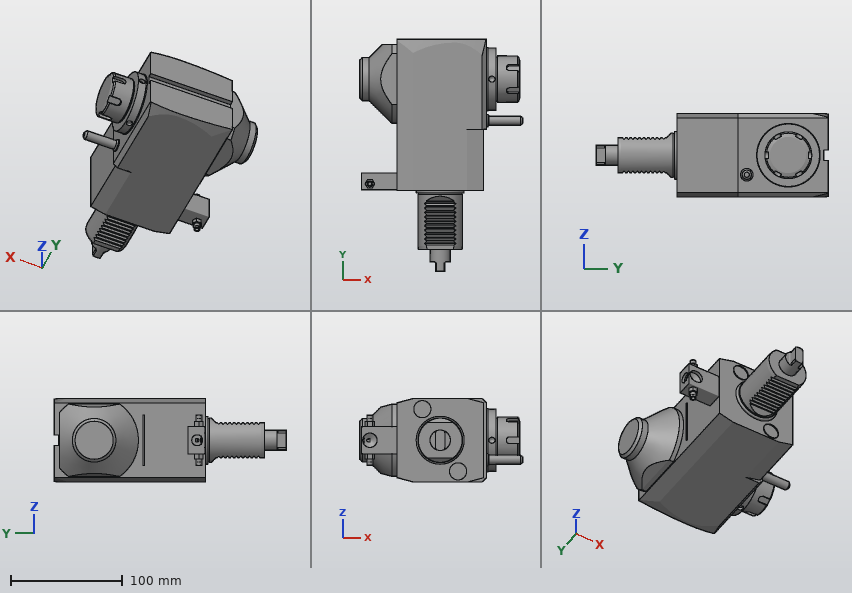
import cadquery as cq
import math


half_width = 39.0
half_height = 75.0 / 2
length = 135.8
side_slope = 15
flat_half_width = 24.1
side_half_height = half_height - (half_width - flat_half_width) * math.tan(math.radians(side_slope))
spindle_face_x = 41.5
spindle_face_start_y = 55.0
spindle_face_chamfer = 4.0

crown_peak_x = 13.0
crown_drop = 0.6
crown_left_drop = 3.5
crown_right_drop = 3.0
crown_slope = 11
crown_run = 29.1

rear_slot_width = 9.2
rear_slot_depth = 4.0
side_groove_y = 55.5
side_groove_length = 45.0
side_groove_width = 1.0
side_groove_depth = 0.6
plug_radius = 7.7
plug_depth = 1.0
plug_x = 16.0
plug_z = 27.9

spindle_y = 100.0
nut_radius = 21.0
nut_end_x = 71.5
nut_bevel_length = 2.3
nut_bevel_depth = 1.2
nut_lip_length = 1.0
nut_face_radius = 16.2
nut_slot_count = 6
nut_slot_width = 6.2
nut_slot_length = 12.3
nut_slot_depth = 3.1
collar_radius = 28.0
collar_start_x = 42.6
collar_end_x = 50.1
collar_rim_radius = 28.5
collar_hole_count = 4
collar_hole_radius = 2.7
collar_hole_depth = 3.1
neck_radius = 20.0
neck_end_x = 51.4

cap_radius = 39.7
cap_rim_x = -43.3
cap_tip_radius = 19.5
cap_tip_x = -72.2
cap_tip_chamfer = 2.5
cap_tip_length = 8.5
cap_flat_half_height = 32.5
cap_back_flat_y = 131.2

pin_radius = 4.2
pin_y = 62.8
pin_z = -17.5
pin_end_x = 74.0
pin_chamfer = 1.9
pin_foot_radius = 5.6
pin_foot_height = 1.0
pin_foot_taper = 1.2

shank_radius = 40.1 / 2
shank_end_y = -52.8
shank_end_chamfer_length = 3.1
shank_end_chamfer_depth = 0.5
flange_radius = 43.0 / 2
flange_thickness = 2.0
flange_rounding = 0.8
relief_radius = 19.5
relief_end_y = -3.3
rack_flat_z = 15.8
rack_start_y = -9.2
rack_tooth_count = 10
rack_first_y = -11.6
rack_pitch = 4.0
rack_depth = 1.5

drive_radius = 9.2
drive_end_y = -72.2
tang_thickness = 8.3
tang_start_y = -63.9
tang_root_radius = 1.0
tang_chamfer_thickness = 1.0
tang_chamfer_height = 2.5

block_end_x = -70.7
block_start_y = 0.8
block_end_y = 16.0
block_half_height = 12.3
block_rounding = 0.5
block_port_x = -63.0
block_port_radius = 6.5
block_port_depth = 3.1
side_port_y = 7.7
side_port_radius = 9.8 / 2
side_port_bore_radius = 1.7
side_port_depth = 2.5
screw_y = 6.2
screw_radius = 2.7
screw_top_z = 22.5
screw_socket_radius = 1.7
screw_socket_depth = 3.1
screw_nut_width = 7.5
screw_nut_height = 4.4

DRILL_POINT_ANGLE = 118
EMBED = 2.0
CLEAR = 10.5


def cylinder(start, direction, radius, height):
    """Cylinder growing from a start point along a direction."""
    return cq.Workplane(obj=cq.Solid.makeCylinder(radius, height, cq.Vector(*start), cq.Vector(*direction)))


def box_between(x_range, y_range, z_range):
    """Axis-aligned box given by its lower and upper limit on each axis."""
    (x0, x1), (y0, y1), (z0, z1) = x_range, y_range, z_range
    return cq.Workplane("XY").box(x1 - x0, y1 - y0, z1 - z0, centered=False).translate((x0, y0, z0))


def turned_on_x(profile, y, z=0):
    """Solid turned about an axis parallel to X; profile points are (x, radius)."""
    outline = cq.Workplane("XY").polyline(profile).close()
    return outline.revolve(360, (0, 0, 0), (1, 0, 0)).translate((0, y, z))


def drilled_hole(radius, straight_depth):
    """Drill shape that enters the XY plane at the origin and points to -Z."""
    point_depth = radius / math.tan(math.radians(DRILL_POINT_ANGLE / 2))
    outline = cq.Workplane("XZ").polyline([
        (0, CLEAR),
        (radius, CLEAR),
        (radius, -straight_depth),
        (0, -straight_depth - point_depth),
    ]).close()
    return outline.revolve(360, (0, 0, 0), (0, 1, 0))


def with_mirror(solid):
    """Solid together with its copy below the XY plane."""
    return solid.union(solid.mirror("XY"))


def along_y(points, y_start, y_end):
    """Prism along Y over an outline of (x, z) points."""
    return cq.Workplane("XZ", origin=(0, y_end, 0)).polyline(points).close().extrude(y_end - y_start)


def housing_section(right_points):
    """Cross-section outline: the slanted left side plus the given upper right points."""
    upper = [(-half_width, side_half_height), (-flat_half_width, half_height)] + right_points
    return upper + [(x, -z) for x, z in reversed(upper)]


def crown_cutter():
    """Material above the crowned rear edge, swept forward and upward."""
    peak_z = half_height - crown_drop
    left_z = peak_z - crown_left_drop
    right_z = peak_z - crown_right_drop
    top_z = half_height + CLEAR

    def arc_middle(end_x, drop):
        """Middle of the arc that leaves the peak level and falls by the drop at its end."""
        run = end_x - crown_peak_x
        radius = (run**2 + drop**2) / (2 * drop)
        half_angle = math.asin(run / radius) / 2
        return (crown_peak_x + radius * math.sin(half_angle), peak_z - radius * (1 - math.cos(half_angle)))

    outline = (
        cq.Workplane("XZ", origin=(0, length, 0))
        .moveTo(-half_width, left_z)
        .threePointArc(arc_middle(-half_width, crown_left_drop), (crown_peak_x, peak_z))
        .threePointArc(arc_middle(spindle_face_x, crown_right_drop), (spindle_face_x, right_z))
        .lineTo(spindle_face_x + CLEAR, right_z)
        .lineTo(spindle_face_x + CLEAR, top_z)
        .lineTo(-half_width - CLEAR, top_z)
        .lineTo(-half_width - CLEAR, left_z)
        .close()
    )
    sweep = cq.Vector(0, -crown_run, crown_run * math.tan(math.radians(crown_slope)))
    return cq.Workplane(obj=cq.Solid.extrudeLinear(outline.wires().val(), [], sweep))


def housing():
    front_section = housing_section([(flat_half_width, half_height), (half_width, side_half_height)])
    rear_section = housing_section([
        (spindle_face_x - spindle_face_chamfer, half_height),
        (spindle_face_x, half_height - spindle_face_chamfer),
    ])
    body = along_y(front_section, 0, spindle_face_start_y)
    body = body.union(along_y(rear_section, spindle_face_start_y, length))
    body = body.cut(with_mirror(crown_cutter()))

    slot = box_between(
        (-half_width - CLEAR, spindle_face_x + CLEAR),
        (length - rear_slot_depth, length + CLEAR),
        (-rear_slot_width / 2, rear_slot_width / 2),
    )
    groove = box_between(
        (-half_width - CLEAR, -half_width + side_groove_depth),
        (side_groove_y - side_groove_width / 2, side_groove_y + side_groove_width / 2),
        (-side_groove_length / 2, side_groove_length / 2),
    )
    body = body.cut(slot).cut(groove)
    for side in (-1, 1):
        body = body.cut(cylinder((side * plug_x, 0, -side * plug_z), (0, 1, 0), plug_radius, plug_depth))
    return body


def spindle():
    body = turned_on_x([
        (spindle_face_x - EMBED, 0),
        (spindle_face_x - EMBED, collar_rim_radius),
        (collar_start_x, collar_rim_radius),
        (collar_start_x, collar_radius),
        (collar_end_x, collar_radius),
        (collar_end_x, neck_radius),
        (neck_end_x, neck_radius),
        (neck_end_x, nut_radius),
        (nut_end_x - nut_bevel_length, nut_radius),
        (nut_end_x - nut_lip_length, nut_radius - nut_bevel_depth),
        (nut_end_x, nut_face_radius),
        (nut_end_x, 0),
    ], spindle_y)

    slot_floor = nut_radius - nut_slot_depth
    slot_center_x = nut_end_x - nut_slot_length + nut_slot_width / 2
    slot = box_between(
        (slot_center_x, nut_end_x + CLEAR),
        (-nut_slot_width / 2, nut_slot_width / 2),
        (slot_floor, nut_radius + CLEAR),
    )
    slot_end = cylinder((slot_center_x, 0, slot_floor), (0, 0, 1), nut_slot_width / 2, nut_slot_depth + CLEAR)
    slot = slot.union(slot_end)
    for i in range(nut_slot_count):
        angle = (i + 0.5) * 360 / nut_slot_count
        body = body.cut(slot.rotate((0, 0, 0), (1, 0, 0), angle).translate((0, spindle_y, 0)))

    hole_x = (collar_start_x + collar_end_x) / 2
    hole = drilled_hole(collar_hole_radius, collar_hole_depth).translate((hole_x, 0, collar_radius))
    for i in range(collar_hole_count):
        angle = i * 360 / collar_hole_count
        body = body.cut(hole.rotate((0, 0, 0), (1, 0, 0), angle).translate((0, spindle_y, 0)))
    return body


def cap():
    cone_start_x = cap_tip_x + cap_tip_length
    body = turned_on_x([
        (-half_width + EMBED, 0),
        (-half_width + EMBED, cap_radius),
        (cap_rim_x, cap_radius),
        (cone_start_x, cap_tip_radius),
        (cap_tip_x + cap_tip_chamfer, cap_tip_radius),
        (cap_tip_x, cap_tip_radius - cap_tip_chamfer),
        (cap_tip_x, 0),
    ], spindle_y)

    slope = math.tan(math.radians(side_slope))
    tip_half_height = cap_flat_half_height - (cap_rim_x - cap_tip_x) * slope
    upper = [(cap_tip_x, tip_half_height), (cap_rim_x, cap_flat_half_height), (0, cap_flat_half_height)]
    envelope = upper + [(x, -z) for x, z in reversed(upper)]
    return body.intersect(along_y(envelope, spindle_y - cap_radius - EMBED, cap_back_flat_y))


def pin():
    foot_end_x = spindle_face_x + pin_foot_height
    return turned_on_x([
        (spindle_face_x - EMBED, 0),
        (spindle_face_x - EMBED, pin_foot_radius),
        (foot_end_x, pin_foot_radius),
        (foot_end_x + pin_foot_taper, pin_radius),
        (pin_end_x - pin_chamfer, pin_radius),
        (pin_end_x, pin_radius - pin_chamfer),
        (pin_end_x, 0),
    ], pin_y, pin_z)


def shank():
    body = cq.Workplane("XY").polyline([
        (0, EMBED),
        (relief_radius, EMBED),
        (relief_radius, relief_end_y),
        (shank_radius, relief_end_y),
        (shank_radius, shank_end_y + shank_end_chamfer_length),
        (shank_radius - shank_end_chamfer_depth, shank_end_y),
        (0, shank_end_y),
    ]).close().revolve(360, (0, 0, 0), (0, 1, 0))
    flange = cylinder((0, 0, 0), (0, -1, 0), flange_radius, flange_thickness)
    flange = flange.edges("<Y").fillet(flange_rounding)
    body = body.union(flange)

    run_in = shank_radius - rack_flat_z + EMBED
    outer_z = rack_flat_z + run_in
    cutter = cq.Workplane("YZ").polyline([
        (shank_end_y - EMBED, rack_flat_z),
        (rack_start_y, rack_flat_z),
        (rack_start_y + run_in, outer_z),
        (shank_end_y - EMBED, outer_z),
    ]).close().extrude(shank_radius + EMBED, both=True)
    for i in range(rack_tooth_count):
        y = rack_first_y - i * rack_pitch
        groove = cq.Workplane("YZ").polyline([
            (y - rack_depth, rack_flat_z),
            (y, rack_flat_z - rack_depth),
            (y + rack_depth, rack_flat_z),
        ]).close().extrude(shank_radius + EMBED, both=True)
        cutter = cutter.union(groove)
    return body.cut(with_mirror(cutter))


def drive_tang():
    body = cylinder((0, shank_end_y + EMBED, 0), (0, -1, 0), drive_radius, shank_end_y + EMBED - drive_end_y)
    half_thickness = tang_thickness / 2
    reach = drive_radius + EMBED
    side_cut = box_between(
        (half_thickness, reach),
        (drive_end_y - EMBED, tang_start_y),
        (-reach, reach),
    ).edges("<X and >Y").fillet(tang_root_radius)
    corner_cut = along_y([
        (half_thickness, drive_radius - tang_chamfer_height),
        (half_thickness - tang_chamfer_thickness, drive_radius),
        (reach, drive_radius),
        (reach, drive_radius - tang_chamfer_height),
    ], drive_end_y - EMBED, tang_start_y - tang_root_radius)
    cutter = side_cut.union(with_mirror(corner_cut))
    return body.cut(cutter).cut(cutter.mirror("YZ"))


def coolant_screw():
    """Hollow screw with its hexagon nut, standing on top of the block."""
    nut_diameter = screw_nut_width / math.cos(math.pi / 6)
    base_z = block_half_height - EMBED
    nut = cq.Workplane("XY").polygon(6, nut_diameter).extrude(screw_nut_height + EMBED)
    nut = nut.translate((block_port_x, screw_y, base_z))
    stem = cylinder((block_port_x, screw_y, base_z), (0, 0, 1), screw_radius, screw_top_z - base_z)
    socket_start = (block_port_x, screw_y, screw_top_z - screw_socket_depth)
    socket = cylinder(socket_start, (0, 0, 1), screw_socket_radius, CLEAR)
    return nut.union(stem).cut(socket)


def coolant_block():
    body = box_between(
        (block_end_x, -half_width + EMBED),
        (block_start_y, block_end_y),
        (-block_half_height, block_half_height),
    ).edges("|X").fillet(block_rounding)
    body = body.union(with_mirror(coolant_screw()))

    port = drilled_hole(block_port_radius, block_port_depth).rotate((0, 0, 0), (1, 0, 0), 90)
    port = port.translate((block_port_x, block_start_y, 0))

    side_port = turned_on_x([
        (block_end_x - CLEAR, 0),
        (block_end_x - CLEAR, side_port_radius),
        (block_end_x + side_port_depth, side_port_radius),
        (block_end_x + side_port_depth, side_port_bore_radius),
        (block_port_x, side_port_bore_radius),
        (block_port_x, 0),
    ], side_port_y)
    return body.cut(port).cut(side_port)


result = housing()
for attached_part in (spindle(), cap(), pin(), shank(), drive_tang(), coolant_block()):
    result = result.union(attached_part)